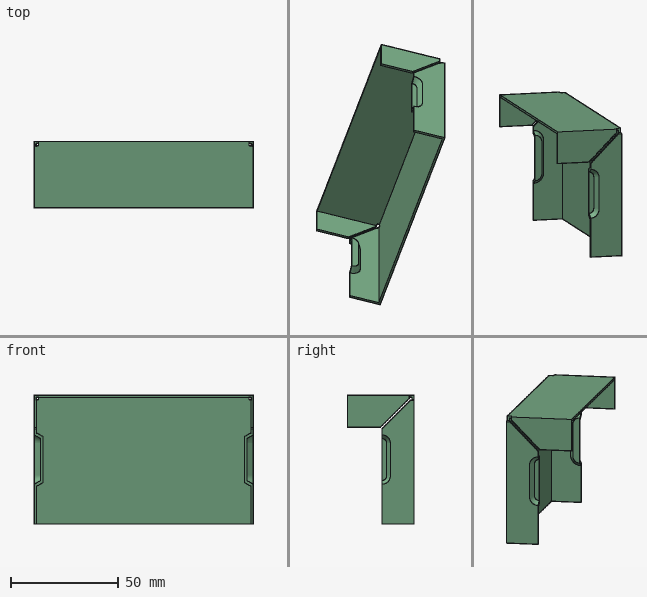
import cadquery as cq

width = 102.0
depth = 31.0
height = 60.0
sheet = 1.0
flap_depth = 15.0

relief_width = 2.0
relief_inner = 2.0
relief_outer = 2.4

miter_half_gap = 0.7

grip_depth = 3.0
grip_straight = 15.0
grip_radius = 4.0
grip_wall_angle = 30.0
grip_z = height / 2

flap_front = depth - flap_depth
flap_bottom = height - flap_depth


def block(x_size, y_size, z_size, corner):
    """Box given by its sizes and its lowest corner."""
    return cq.Workplane("XY").box(x_size, y_size, z_size, centered=False).translate(corner)


def flap(outline):
    """Left side flap from a closed (Y, Z) outline."""
    return cq.Workplane("YZ").polyline(outline).close().extrude(sheet)


def lower_flap():
    """Flap bent forward from the back sheet, mitered at its top."""
    flap_top = height - relief_inner
    outline = [
        (depth, 0),
        (flap_front, 0),
        (flap_front, flap_bottom - miter_half_gap),
        (depth - relief_inner + miter_half_gap, flap_top),
        (depth, flap_top),
    ]
    return flap(outline)


def upper_flap():
    """Flap bent down from the top sheet, mitered at its back."""
    flap_back = depth - relief_inner
    outline = [
        (0, height),
        (0, flap_bottom),
        (flap_front - miter_half_gap, flap_bottom),
        (flap_back, height - relief_inner + miter_half_gap),
        (flap_back, height),
    ]
    return flap(outline)


def grip_taper(x_start, radius):
    """Upright rounded slot tapering along +X, centred on the lower flap's front edge."""
    return (
        cq.Workplane("YZ", origin=(x_start, flap_front, grip_z))
        .slot2D(grip_straight + 2 * radius, 2 * radius, 90)
        .extrude(grip_depth, taper=grip_wall_angle)
    )


def grip_shell():
    """Raised inner side of the grip, cut off flush with the flap's front edge."""
    behind_front_edge = block(width, flap_depth, height, (0, flap_front, 0))
    return grip_taper(sheet, grip_radius + sheet).intersect(behind_front_edge)


def corner_relief():
    """Square notch through the left corner, widening toward the outside."""
    return (
        cq.Workplane("YZ", origin=(0, depth, height))
        .rect(2 * relief_outer, 2 * relief_outer)
        .workplane(offset=relief_width)
        .rect(2 * relief_inner, 2 * relief_inner)
        .loft()
    )


def mirrored(shape):
    """Copy of a left side feature on the right side."""
    return shape.mirror("YZ", (width / 2, 0, 0))


back_sheet = block(width, sheet, height, (0, depth - sheet, 0))
top_sheet = block(width, depth, sheet, (0, 0, height - sheet))
left_side = lower_flap().union(grip_shell()).cut(grip_taper(0, grip_radius)).union(upper_flap())
left_relief = corner_relief()

result = (
    back_sheet.union(top_sheet)
    .union(left_side)
    .union(mirrored(left_side))
    .cut(left_relief)
    .cut(mirrored(left_relief))
)